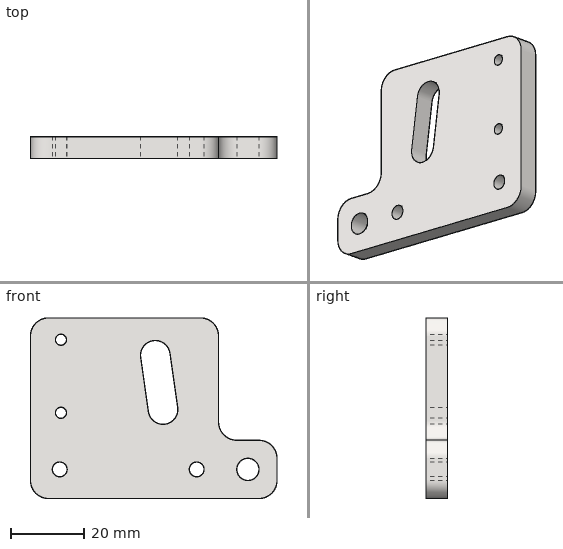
import cadquery as cq

length = 67.5
height = 49.5
thickness = 6.0
body_length = 51.5
tab_height = 16.0
corner_radius = 5.0

small_diameter = 3.0
medium_diameter = 4.0
large_diameter = 6.0
lower_row_z = tab_height / 2
small_hole_x = 8.4
small_hole_z = 23.5
small_hole_pitch = 20.0
medium_hole_left_x = 8.0
medium_hole_right_x = 45.5
large_hole_x = length - tab_height / 2

slot_center = (35.25, 31.8)
slot_travel = 15.0
slot_width = 8.0
slot_angle = 98.1


def make_plate():
    """L-shaped plate with every corner, including the inner one, rounded."""
    return (
        cq.Workplane("XZ")
        .moveTo(0, 0)
        .lineTo(length, 0)
        .lineTo(length, tab_height)
        .lineTo(body_length, tab_height)
        .lineTo(body_length, height)
        .lineTo(0, height)
        .close()
        .extrude(-thickness)
        .edges("|Y")
        .fillet(corner_radius)
    )


def make_holes(centers, diameter):
    """Cylinders through the plate thickness at the given X-Z centers."""
    return cq.Workplane("XZ").pushPoints(centers).circle(diameter / 2).extrude(-thickness)


def make_slot():
    """Round-ended slot leaning to the left at its top."""
    return (
        cq.Workplane("XZ")
        .center(*slot_center)
        .slot2D(slot_travel + slot_width, slot_width, slot_angle)
        .extrude(-thickness)
    )


small_centers = [(small_hole_x, small_hole_z + i * small_hole_pitch) for i in range(2)]
medium_centers = [(x, lower_row_z) for x in (medium_hole_left_x, medium_hole_right_x)]
large_centers = [(large_hole_x, lower_row_z)]

result = (
    make_plate()
    .cut(make_holes(small_centers, small_diameter))
    .cut(make_holes(medium_centers, medium_diameter))
    .cut(make_holes(large_centers, large_diameter))
    .cut(make_slot())
)